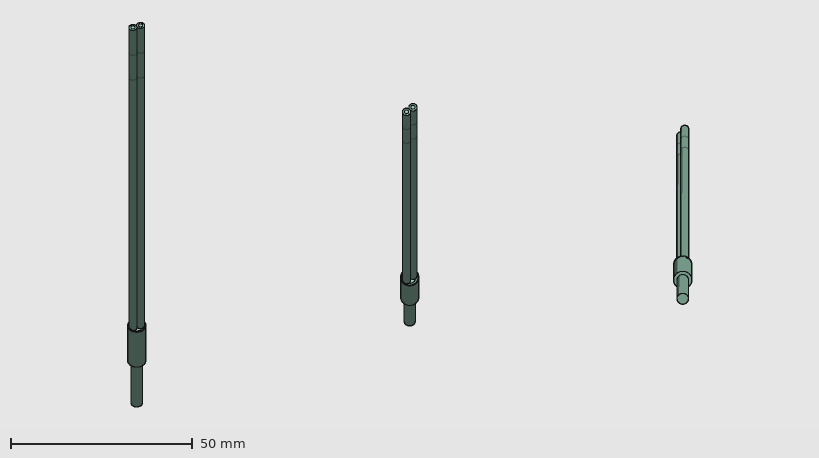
import cadquery as cq

total_length = 150.97

probe_diameter = 3.18
probe_length = 17.0

sleeve_diameter = 5.08
sleeve_length = 14.0
funnel_top_diameter = 4.6
funnel_floor_diameter = probe_diameter
funnel_depth = 0.45

jacket_diameter = 2.24
conductor_diameter = 1.15
strip_mark_pitch = 10.0
strip_mark_count = 2

sleeve_bottom = probe_length
sleeve_top = sleeve_bottom + sleeve_length
funnel_floor = sleeve_top - funnel_depth
lead_length = total_length - funnel_floor
lead_offsets = (-jacket_diameter / 2, jacket_diameter / 2)


def rod(diameter, bottom, length, y=0.0):
    """Upright solid cylinder centred on X = 0."""
    return cq.Workplane("XY", origin=(0, y, bottom)).circle(diameter / 2).extrude(length)


def make_probe():
    return rod(probe_diameter, 0, probe_length)


def make_sleeve():
    funnel = (
        cq.Workplane("XY", origin=(0, 0, funnel_floor))
        .circle(funnel_floor_diameter / 2)
        .workplane(offset=funnel_depth)
        .circle(funnel_top_diameter / 2)
        .loft(ruled=True)
    )
    sleeve = rod(sleeve_diameter, sleeve_bottom, sleeve_length).cut(funnel)
    for y in lead_offsets:
        sleeve = sleeve.cut(rod(jacket_diameter, funnel_floor, lead_length, y))
    return sleeve


def make_jacket(y):
    """Insulation tube whose outer face is split at the strip marks near the free end."""
    jacket = rod(jacket_diameter, funnel_floor, lead_length - strip_mark_count * strip_mark_pitch, y)
    for mark in range(strip_mark_count, 0, -1):
        segment = rod(jacket_diameter, total_length - mark * strip_mark_pitch, strip_mark_pitch, y)
        jacket = jacket.union(segment, clean=False)
    bore = rod(conductor_diameter, funnel_floor, lead_length, y)
    return jacket.cut(bore, clean=False)


def make_conductor(y):
    return rod(conductor_diameter, funnel_floor, lead_length, y)


probe = make_probe()
sleeve = make_sleeve()
jackets = [make_jacket(y) for y in lead_offsets]
conductors = [make_conductor(y) for y in lead_offsets]

result = cq.Compound.makeCompound(
    [
        probe.val(),
        sleeve.solids().val(),
        *[jacket.solids().val() for jacket in jackets],
        *[conductor.val() for conductor in conductors],
    ]
)